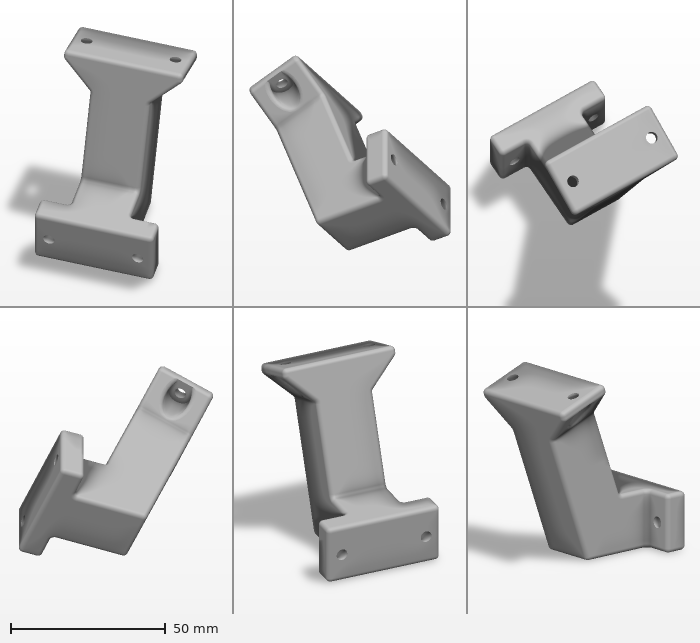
import cadquery as cq
import math

total_width = 40.0
total_height = 61.35
column_width = 20.0
foot_height = 19.7
column_depth = 19.9
lean_angle = 20.0
edge_radius = 1.5

plate_thickness = 8.05
knee_y = 19.4

lip_height = 3.0
flare_height = (total_width - column_width) / 2

hole_spacing = 29.95
hole_diameter = 3.8
plate_hole_z = 9.6
bore_diameter = 8.0
bore_floor_depth = 3.0

lean = math.radians(lean_angle)
sin_lean = math.sin(lean)
cos_lean = math.cos(lean)

corner_loss = edge_radius * (sin_lean + cos_lean - 1)
top_front_z = total_height + corner_loss
column_length = (top_front_z - foot_height) / cos_lean
top_front_y = knee_y + column_length * sin_lean
top_back_y = top_front_y + column_depth * cos_lean
top_back_z = top_front_z - column_depth * sin_lean
heel_y = top_back_y - top_back_z * math.tan(lean)


def leaning_plane():
    """Plane at the middle of the sharp top face, with its normal along the column."""
    return cq.Plane(
        origin=(0, (top_front_y + top_back_y) / 2, (top_front_z + top_back_z) / 2),
        xDir=(1, 0, 0),
        normal=(0, sin_lean, cos_lean),
    )


def bent_column():
    profile = [
        (0, 0),
        (heel_y, 0),
        (top_back_y, top_back_z),
        (top_front_y, top_front_z),
        (knee_y, foot_height),
        (0, foot_height),
    ]
    return cq.Workplane("YZ").polyline(profile).close().extrude(column_width / 2, both=True)


def mounting_plate():
    return cq.Workplane("XY").box(
        total_width, plate_thickness, foot_height, centered=(True, False, False)
    )


def head_plane():
    """Upright plane through the column axis: x across the part, y along the column."""
    top = leaning_plane()
    return cq.Plane(origin=top.origin, xDir=(1, 0, 0), normal=top.yDir * -1)


def flared_head():
    half_total = total_width / 2
    half_column = column_width / 2
    flare_bottom = -(lip_height + flare_height)
    outline = [
        (-half_total, 0),
        (half_total, 0),
        (half_total, -lip_height),
        (half_column, flare_bottom),
        (-half_column, flare_bottom),
        (-half_total, -lip_height),
    ]
    return cq.Workplane(head_plane()).polyline(outline).close().extrude(column_depth / 2, both=True)


def plate_holes():
    return (
        cq.Workplane("XZ", origin=(0, 0, plate_hole_z))
        .rarray(hole_spacing, 0.6, 2, 1)
        .circle(hole_diameter / 2)
        .extrude(-plate_thickness)
    )


def head_holes():
    return (
        cq.Workplane(leaning_plane())
        .rarray(hole_spacing, 0.6, 2, 1)
        .circle(hole_diameter / 2)
        .extrude(-(lip_height + flare_height))
    )


def rounded_bore():
    """Cutter for the +X bore, widened where its rim rolls over into the flare.

    The rim is rounded on an oversized block that shares the flare face, and the
    material removed from that block, below the bore floor, is the cutter.
    """
    reach = total_width
    flare_at_center = -(lip_height + total_width / 2)
    flare_at_reach = flare_at_center + reach
    block_outline = [(0, flare_at_center), (reach, flare_at_reach), (0, flare_at_reach)]
    block = (
        cq.Workplane(head_plane())
        .polyline(block_outline)
        .close()
        .extrude(column_depth / 2, both=True)
    )
    bore = (
        cq.Workplane(leaning_plane())
        .center(hole_spacing / 2, 0)
        .circle(bore_diameter / 2)
        .extrude(reach, both=True)
    )
    rim = cq.selectors.NearestToPointSelector(
        leaning_plane().toWorldCoords((hole_spacing / 2, 0, hole_spacing / 2 + flare_at_center))
    )
    rounded_block = block.cut(bore).edges("%ELLIPSE").edges(rim).fillet(edge_radius)
    below_floor = (
        cq.Workplane(leaning_plane())
        .workplane(offset=-bore_floor_depth)
        .rect(2 * reach, column_depth)
        .extrude(-reach)
    )
    return block.cut(rounded_block).intersect(below_floor)


body = bent_column().union(mounting_plate()).union(flared_head()).clean()
body = body.edges().fillet(edge_radius)
bore_cutter = rounded_bore()
result = (
    body.cut(plate_holes())
    .cut(head_holes())
    .cut(bore_cutter)
    .cut(bore_cutter.mirror("YZ"))
)